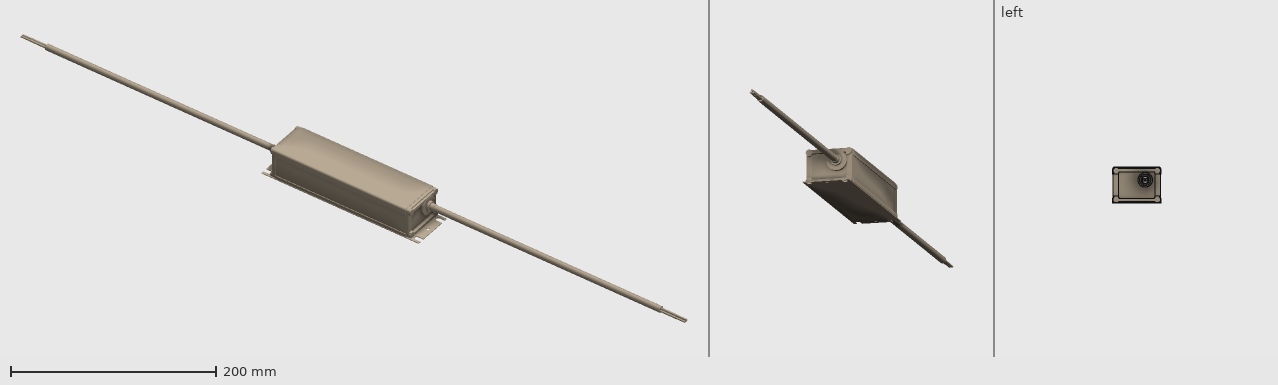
import cadquery as cq
import math

overall_length = 784.0

housing_width = 47.0
housing_height = 35.0
profile_length = 156.0
edge_radius = 2.0
panel_depth = 1.0
panel_bottom = 5.0
panel_top = 28.0

cap_face = 84.0
cap_inset = 0.4
lip_inset = 1.5
lip_height = 7.0
lip_projection = 2.0
pocket_width = 35.0
pocket_margin = 5.0
pocket_depth = 1.0

screw_diameter = 6.5
screw_edge_distance = 3.5

plate_length = 188.0
plate_thickness = 1.0
slot_width = 5.0
slot_y = 18.0
slot_depth = 9.0
plate_hole_diameter = 3.4
plate_hole_x = 88.5

input_cable_y = -8.2
output_cable_y = 8.0
cable_z = 23.0
flange_end = 84.3
input_flange_diameter = 14.0
output_flange_diameter = 20.0
collar_diameter = 11.0
collar_end = 87.0
sleeve_diameter = 8.0
sleeve_end = 92.0
jacket_diameter = 6.8
jacket_end = 362.0
conductor_diameter = 2.4
conductor_end = 381.0
wire_diameter = 2.1

cap_base = cap_face - lip_projection
pocket_floor = cap_base - pocket_depth


def bar(length, width, bottom, top):
    """Box centred on X and Y that stands between two heights."""
    box = cq.Workplane("XY").box(length, width, top - bottom, centered=(True, True, False))
    return box.translate((0, 0, bottom))


def rod(side, diameter, start, end, y, z):
    """Round bar along X between two distances from the centre, on the given side."""
    circle = cq.Workplane("YZ", origin=(side * start, y, z)).circle(diameter / 2)
    return circle.extrude(side * (end - start))


def rounded_bar(length, inset):
    """Bar along X with the outline of the housing, set in by the given distance."""
    block = bar(length, housing_width - 2 * inset, inset, housing_height - inset)
    return block.edges("|X").fillet(edge_radius)


def make_profile():
    """Rounded bar with a shallow panel sunk in each long side."""
    profile = rounded_bar(profile_length, 0)
    for side in (-1, 1):
        panel = bar(profile_length, 2 * panel_depth, panel_bottom, panel_top)
        profile = profile.cut(panel.translate((0, side * housing_width / 2, 0)))
    return profile


def make_cap(side):
    """End cap with two lips, a pocket and four screw heads."""
    inner_face = profile_length / 2
    base = rounded_bar(cap_base - inner_face, cap_inset)
    base = base.translate((side * (inner_face + cap_base) / 2, 0, 0))
    lips = rounded_bar(lip_projection, lip_inset)
    lips = lips.translate((side * (cap_base + lip_projection / 2), 0, 0))
    relief = bar(2 * lip_projection, housing_width, lip_height, housing_height - lip_height)
    cap = base.union(lips).cut(relief.translate((side * cap_face, 0, 0)))
    pocket = bar(2 * (cap_face - pocket_floor), pocket_width, pocket_margin, housing_height - pocket_margin)
    cap = cap.cut(pocket.translate((side * cap_face, 0, 0)))
    screw_y = housing_width / 2 - screw_edge_distance
    for y in (-screw_y, screw_y):
        for z in (screw_edge_distance, housing_height - screw_edge_distance):
            cap = cap.union(rod(side, screw_diameter, pocket_floor, cap_face, y, z))
    return cap


def make_plate():
    """Thin plate with a hole and two open slots at each end."""
    plate = bar(plate_length, housing_width, 0, plate_thickness)
    for sx in (-1, 1):
        hole = cq.Workplane("XY").center(sx * plate_hole_x, 0).circle(plate_hole_diameter / 2)
        plate = plate.cut(hole.extrude(plate_thickness))
        for sy in (-1, 1):
            slot = (
                cq.Workplane("XY")
                .center(sx * plate_length / 2, sy * slot_y)
                .slot2D(2 * slot_depth, slot_width)
                .extrude(plate_thickness)
            )
            plate = plate.cut(slot)
    return plate


def make_housing():
    """Profile, plate and end caps in one piece, with a seat for the output gland in its end cap."""
    housing = make_profile().union(make_plate())
    for side in (-1, 1):
        housing = housing.union(make_cap(side))
    seat = rod(1, output_flange_diameter, pocket_floor, cap_face, output_cable_y, cable_z)
    return housing.cut(seat)


def make_cable(side, y, flange_diameter, conductor_count, first_angle):
    """Gland, jacket and a bundle of touching conductors with bare ends."""
    cable = rod(side, flange_diameter, pocket_floor, flange_end, y, cable_z)
    steps = [
        (collar_diameter, flange_end, collar_end),
        (sleeve_diameter, collar_end, sleeve_end),
        (jacket_diameter, sleeve_end, jacket_end),
    ]
    for diameter, start, end in steps:
        cable = cable.union(rod(side, diameter, start, end, y, cable_z))

    bundle_radius = conductor_diameter / 2 / math.sin(math.pi / conductor_count)
    for i in range(conductor_count):
        angle = math.radians(first_angle) + 2 * math.pi * i / conductor_count
        wire_y = y + bundle_radius * math.cos(angle)
        wire_z = cable_z + bundle_radius * math.sin(angle)
        cable = cable.union(rod(side, conductor_diameter, jacket_end, conductor_end, wire_y, wire_z))
        cable = cable.union(rod(side, wire_diameter, conductor_end, overall_length / 2, wire_y, wire_z))
    return cable


housing = make_housing()
input_cable = make_cable(-1, input_cable_y, input_flange_diameter, 2, 0)
output_cable = make_cable(1, output_cable_y, output_flange_diameter, 3, 90)
result = cq.Compound.makeCompound([housing.val(), input_cable.val(), output_cable.val()])